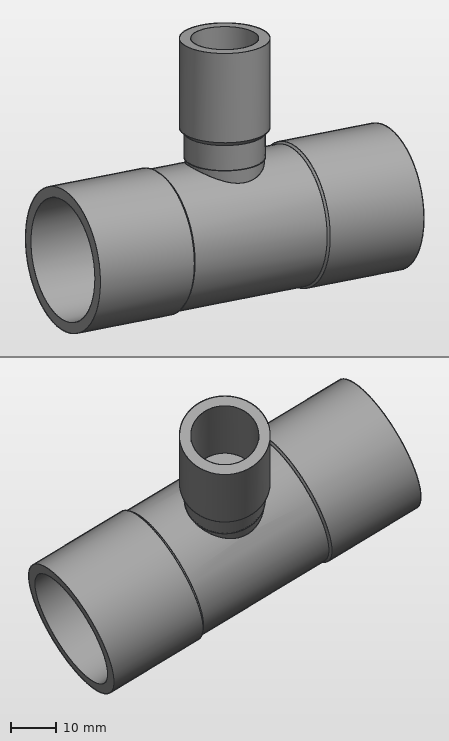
import cadquery as cq

run_length = 82.4
socket_diameter = 33.0
socket_length = 24.4
socket_bore = 28.0
socket_bore_depth = 23.9
body_diameter = 32.0
socket_chamfer = (socket_diameter - body_diameter) / 2

branch_top = 44.5
branch_socket_diameter = 20.0
branch_socket_length = 21.9
branch_bore = 15.0
branch_bore_depth = 20.85
neck_diameter = 18.0
neck_bottom = 16.65
root_diameter = 17.5
branch_chamfer = (branch_socket_diameter - neck_diameter) / 2


def upright_cylinder(diameter, bottom, top):
    """Cylinder on the Z axis between two heights."""
    return cq.Workplane("XY").workplane(offset=bottom).circle(diameter / 2).extrude(top - bottom)


def along_run(upright):
    """Lay a shape built on the Z axis down so that its top faces +Y."""
    return upright.rotate((0, 0, 0), (1, 0, 0), -90)


def both_ends(shape):
    """A shape at the +Y end together with its mirror image at the -Y end."""
    return shape.union(shape.mirror("XZ"))


run_end = run_length / 2
run = along_run(upright_cylinder(body_diameter, -run_end, run_end))
socket = upright_cylinder(socket_diameter, run_end - socket_length, run_end)
socket = along_run(socket.faces("<Z").chamfer(socket_chamfer))
run = run.union(both_ends(socket))

branch_socket_bottom = branch_top - branch_socket_length
root = upright_cylinder(root_diameter, 0, neck_bottom)
neck = upright_cylinder(neck_diameter, neck_bottom, branch_socket_bottom)
branch_socket = upright_cylinder(branch_socket_diameter, branch_socket_bottom, branch_top)
branch_socket = branch_socket.faces("<Z").chamfer(branch_chamfer)
branch = root.union(neck).union(branch_socket)

run_bore = along_run(upright_cylinder(socket_bore, run_end - socket_bore_depth, run_end))
branch_hole = upright_cylinder(branch_bore, branch_top - branch_bore_depth, branch_top)

result = run.union(branch).cut(both_ends(run_bore)).cut(branch_hole)